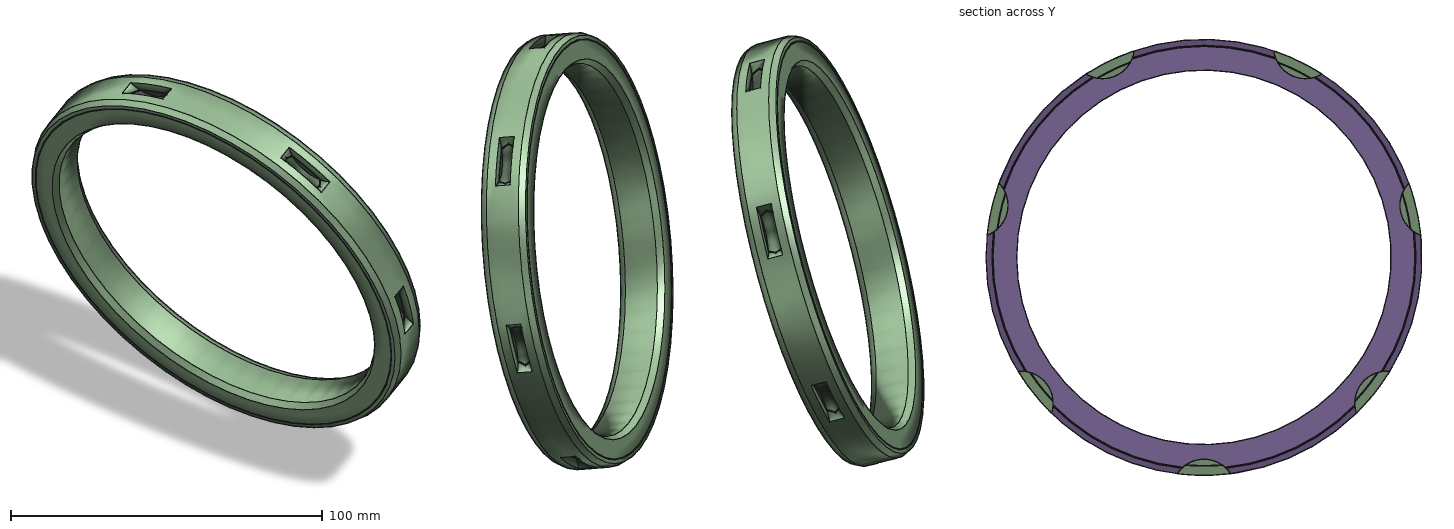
import cadquery as cq
import math

outer_radius = 70.0
bore_radius = 60.0
width = 15.1
half_width = width / 2

rim_chamfer_radial = 1.0
bore_chamfer_radial = 1.3
chamfer_axial = 2.1

joint_gap = 0.3
joint_face_radius = 67.5
joint_valley_radius = 66.8
joint_ridge_radius = 67.8
joint_valley_offset = 2.5

slot_count = 7
slot_width = 5.0
cutter_radius = 10.2
cutter_centre_radius = 75.0
slot_pitch = 2 * math.pi / slot_count


def revolve_about_y(points):
    """Revolve a closed (radius, y) outline about the Y axis."""
    return cq.Workplane("XY").polyline(points).close().revolve(360, (0, 0, 0), (0, 1, 0))


def joint_points(clearance):
    """W-shaped joint outline from the front face to the back face, moved outward by the clearance."""
    face = joint_face_radius + clearance
    valley = joint_valley_radius + clearance
    ridge = joint_ridge_radius + clearance
    return [
        (face, -half_width),
        (valley, -joint_valley_offset),
        (ridge, 0),
        (valley, joint_valley_offset),
        (face, half_width),
    ]


def make_slot_cutters():
    """Milling discs evenly spaced around the ring, one of them straight below the axis."""
    cutters = cq.Workplane("XZ")
    for index in range(slot_count):
        angle = index * slot_pitch - math.pi / 2
        centre = (cutter_centre_radius * math.cos(angle), cutter_centre_radius * math.sin(angle))
        disc = cq.Workplane("XZ").center(*centre).circle(cutter_radius).extrude(slot_width / 2, both=True)
        cutters = cutters.add(disc)
    return cutters.combine()


def make_inner_ring(slot_cutters):
    bore_points = [
        (bore_radius + bore_chamfer_radial, half_width),
        (bore_radius, half_width - chamfer_axial),
        (bore_radius, -half_width + chamfer_axial),
        (bore_radius + bore_chamfer_radial, -half_width),
    ]
    return revolve_about_y(joint_points(0) + bore_points).cut(slot_cutters)


def make_outer_ring(slot_cutters):
    face_radius = outer_radius - rim_chamfer_radial
    rim_half_width = half_width - chamfer_axial
    rim_points = [
        (face_radius, half_width),
        (outer_radius, rim_half_width),
        (outer_radius, -rim_half_width),
        (face_radius, -half_width),
    ]
    return revolve_about_y(joint_points(joint_gap) + rim_points).cut(slot_cutters)


slot_cutters = make_slot_cutters()
inner_ring = make_inner_ring(slot_cutters)
outer_ring = make_outer_ring(slot_cutters)

result = cq.Compound.makeCompound([inner_ring.val(), outer_ring.val()])